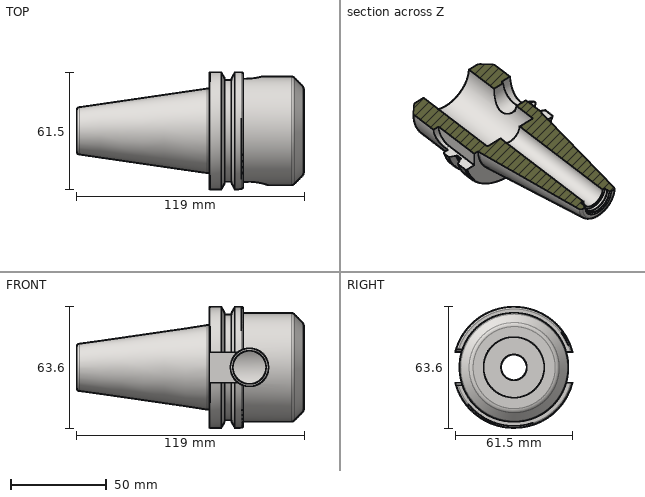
import cadquery as cq

length = 119
taper_end = 68.2
flange_front = 69.3
groove_center = 79.3
flange_back = 87.3

taper_large_radius = 44.4 / 2
taper_slope = 7 / 48
flange_radius = 31.8
groove_flank_radius = 28.5
groove_radius = 27.9
body_radius = 57.1 / 2

tip_fillet = 1.4
flange_front_fillet = 0.7
flange_back_fillet = 1.1
nose_chamfer = 5.8
nose_outer_fillet = 2.0
nose_inner_fillet = 3.0

groove_floor_width = 3.3
groove_flank_run = (flange_radius - groove_flank_radius) / 3 ** 0.5

through_diameter = 13.3
pilot_diameter = 16.3
pilot_depth = 4.0
entry_diameter = 16.8
entry_depth = 2.1
entry_chamfer = 0.7
tool_bore_diameter = 31.8
tool_bore_start = 69

slot_width = 16.1
slot_end = 97.1
front_slot_floor = 22.7
back_slot_floor = 25

screw_x = 90.5
screw_diameter = 17.4
seat_diameter = 20.0
seat_floor = 22.5


def revolve_about_x(profile):
    return profile.close().revolve(360, (0, 0, 0), (1, 0, 0))


def make_shank():
    tip_radius = taper_large_radius - taper_slope * taper_end
    shank = revolve_about_x(
        cq.Workplane("XY")
        .lineTo(0, tip_radius)
        .lineTo(taper_end, taper_large_radius)
        .lineTo(flange_front, taper_large_radius)
        .lineTo(flange_front, 0)
    )
    return shank.faces("<X").edges().fillet(tip_fillet)


def make_flange():
    flange = (
        cq.Workplane("YZ", origin=(flange_front, 0, 0))
        .circle(flange_radius)
        .extrude(flange_back - flange_front)
    )
    flange = flange.faces("<X").edges().fillet(flange_front_fillet)
    flange = flange.faces(">X").edges().fillet(flange_back_fillet)
    half_floor = groove_floor_width / 2
    half_mouth = half_floor + groove_flank_run
    groove = revolve_about_x(
        cq.Workplane("XY")
        .moveTo(groove_center - half_mouth, flange_radius)
        .lineTo(groove_center - half_floor, groove_flank_radius)
        .lineTo(groove_center - half_floor, groove_radius)
        .lineTo(groove_center + half_floor, groove_radius)
        .lineTo(groove_center + half_floor, groove_flank_radius)
        .lineTo(groove_center + half_mouth, flange_radius)
    )
    return flange.cut(groove)


def make_body():
    body = (
        cq.Workplane("YZ", origin=(flange_back, 0, 0))
        .circle(body_radius)
        .extrude(length - flange_back)
    )
    body = body.faces(">X").edges().chamfer(nose_chamfer)
    body = body.faces(">X").edges().fillet(nose_inner_fillet)
    chamfer_start = cq.selectors.BoxSelector(
        (length - nose_chamfer - 0.1, -body_radius, -body_radius),
        (length - nose_chamfer + 0.1, body_radius, body_radius),
    )
    return body.edges("%CIRCLE").edges(chamfer_start).fillet(nose_outer_fillet)


def make_bores():
    entry_radius = entry_diameter / 2
    return revolve_about_x(
        cq.Workplane("XY")
        .lineTo(0, entry_radius + entry_chamfer)
        .lineTo(entry_chamfer, entry_radius)
        .lineTo(entry_depth, entry_radius)
        .lineTo(entry_depth, pilot_diameter / 2)
        .lineTo(pilot_depth, pilot_diameter / 2)
        .lineTo(pilot_depth, through_diameter / 2)
        .lineTo(tool_bore_start, through_diameter / 2)
        .lineTo(tool_bore_start, tool_bore_diameter / 2)
        .lineTo(length, tool_bore_diameter / 2)
        .lineTo(length, 0)
    )


def make_slot(side, floor):
    """Round-ended slot open towards the tip; side is -1 for -Y and 1 for +Y."""
    half_width = slot_width / 2
    round_center = slot_end - half_width
    return (
        cq.Workplane("XZ", origin=(0, side * floor, 0))
        .moveTo(flange_front, -half_width)
        .lineTo(round_center, -half_width)
        .threePointArc((slot_end, 0), (round_center, half_width))
        .lineTo(flange_front, half_width)
        .close()
        .extrude(-side * (flange_radius - floor))
    )


def make_screw_hole():
    hole = cq.Workplane("XZ", origin=(screw_x, 0, 0))
    hole = hole.circle(screw_diameter / 2).extrude(flange_radius)
    seat = cq.Workplane("XZ", origin=(screw_x, -seat_floor, 0))
    seat = seat.circle(seat_diameter / 2).extrude(flange_radius - seat_floor)
    return hole.union(seat)


result = (
    make_shank()
    .union(make_flange())
    .union(make_body())
    .cut(make_bores())
    .cut(make_slot(-1, front_slot_floor))
    .cut(make_slot(1, back_slot_floor))
    .cut(make_screw_hole())
)